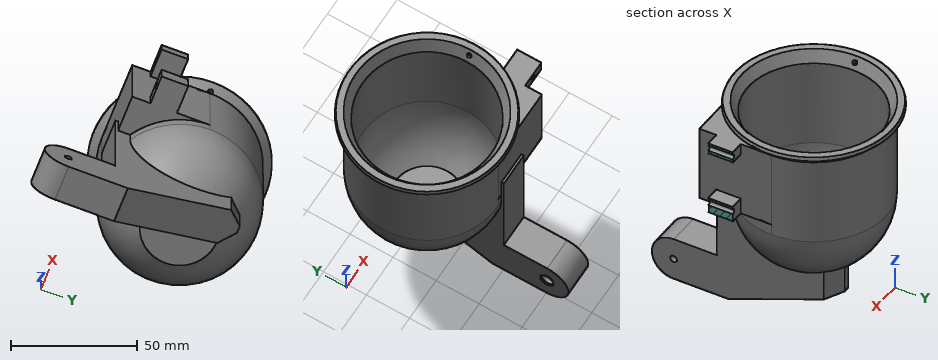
import cadquery as cq
import math


wall = 3.0
inner_radius = 30.0
outer_radius = inner_radius + wall
floor_radius = inner_radius / 2
rim_radius = 36.5
rim_top_radius = 36.0
rim_edge_depth = 1.5
collar_depth = rim_edge_depth + rim_radius - outer_radius
equator_depth = 45.0
inner_floor_depth = equator_depth + math.sqrt(inner_radius**2 - floor_radius**2)
outer_floor_depth = inner_floor_depth + wall
outer_floor_radius = math.sqrt(outer_radius**2 - (outer_floor_depth - equator_depth) ** 2)

drain_diameter = 2.0
drain_start_radius = 31.7
drain_start_depth = 2.5
drain_length = 5.0

block_bottom_depth = 40.0
lug_length = 12.2
lug_front_y = -25.2
lug_thickness = 11.3
upper_lug_height = 5.2
lower_lug_height = 7.4
lug_hole_diameter = 2.2
lug_hole_drop = 2.5

arm_width = 15.0
arm_left_x = 2.6
arm_front_y = -34.1
arm_top_depth = 30.0
arm_back_y = 21.0
arm_back_chamfer = 6.0
hub_diameter = 20.0
hub_bottom_depth = 100.0
overall_length_y = 100.6
hub_y = rim_radius - overall_length_y + hub_diameter / 2
hub_neck_y = -28.9
hub_top_depth = hub_bottom_depth - hub_diameter
hub_hole_diameter = 3.0
hub_bore_diameter = 5.3
hub_bore_depth = 3.0
hub_bore_chamfer = 0.5


def cup_outside():
    """Solid outer shape of the cup: flared rim, straight wall and flattened round bottom."""
    mid_angle = (math.pi / 2 + math.asin(outer_floor_radius / outer_radius)) / 2
    arc_middle = (
        outer_radius * math.sin(mid_angle),
        -equator_depth - outer_radius * math.cos(mid_angle),
    )
    return (
        cq.Workplane("XZ")
        .moveTo(0, 0)
        .lineTo(rim_top_radius, 0)
        .lineTo(rim_radius, -rim_edge_depth)
        .lineTo(outer_radius, -collar_depth)
        .lineTo(outer_radius, -equator_depth)
        .threePointArc(arc_middle, (outer_floor_radius, -outer_floor_depth))
        .lineTo(0, -outer_floor_depth)
        .close()
        .revolve(360, (0, 0, 0), (0, 1, 0))
    )


def cup_cavity():
    """Inside of the cup: a funnel at the mouth, a straight bore and a round bottom with a flat floor."""
    mid_angle = (math.pi / 2 + math.asin(floor_radius / inner_radius)) / 2
    arc_middle = (
        inner_radius * math.sin(mid_angle),
        -equator_depth - inner_radius * math.cos(mid_angle),
    )
    return (
        cq.Workplane("XZ")
        .moveTo(0, 0)
        .lineTo(outer_radius, 0)
        .lineTo(inner_radius, -collar_depth)
        .lineTo(inner_radius, -equator_depth)
        .threePointArc(arc_middle, (floor_radius, -inner_floor_depth))
        .lineTo(0, -inner_floor_depth)
        .close()
        .revolve(360, (0, 0, 0), (0, 1, 0))
    )


def drain_hole(side):
    """Cutter for the drain hole on the +X (side = 1) or -X (side = -1) side."""
    start_radius = drain_start_radius - drain_diameter / 2
    start_depth = drain_start_depth - drain_diameter / 2
    return cq.Workplane(
        cq.Solid.makeCylinder(
            drain_diameter / 2,
            drain_length,
            cq.Vector(side * start_radius, 0, -start_depth),
            cq.Vector(side, 0, -1),
        )
    )


def corner_block():
    """Block that squares off the front right quarter of the cup wall."""
    height = block_bottom_depth - collar_depth
    return (
        cq.Workplane("XY")
        .box(outer_radius, outer_radius, height, centered=False)
        .translate((0, -outer_radius, -block_bottom_depth))
    )


def lug(top_depth, height):
    """Hinge lug on the block's right side, with a pin hole along Y."""
    body = (
        cq.Workplane("XY")
        .box(lug_length, lug_thickness, height, centered=False)
        .translate((outer_radius, lug_front_y, -top_depth - height))
    )
    pin_hole = (
        cq.Workplane("XZ", origin=(0, lug_front_y, 0))
        .center(outer_radius + lug_length / 2, -top_depth - lug_hole_drop)
        .circle(lug_hole_diameter / 2)
        .extrude(-lug_thickness)
    )
    return body.cut(pin_hole)


def arm():
    """Upright web with a sloping lower edge, its back end chamfered on both sides."""
    return (
        cq.Workplane("YZ", origin=(arm_left_x, 0, 0))
        .moveTo(arm_front_y, -arm_top_depth)
        .lineTo(arm_front_y, -hub_top_depth)
        .lineTo(hub_neck_y, -hub_bottom_depth)
        .lineTo(arm_back_y, -hub_top_depth)
        .lineTo(arm_back_y, -arm_top_depth)
        .close()
        .extrude(arm_width)
        .faces(">Y")
        .edges("|Z")
        .chamfer(arm_back_chamfer)
    )


def hub():
    """Round-ended bar that carries the pivot."""
    return (
        cq.Workplane("YZ", origin=(arm_left_x, 0, 0))
        .moveTo(hub_neck_y, -hub_top_depth)
        .lineTo(hub_y, -hub_top_depth)
        .threePointArc(
            (hub_y - hub_diameter / 2, -hub_top_depth - hub_diameter / 2),
            (hub_y, -hub_bottom_depth),
        )
        .lineTo(hub_neck_y, -hub_bottom_depth)
        .close()
        .extrude(arm_width)
    )


def pivot_hole():
    """Through hole with a chamfered counterbore on the -X side of the hub."""
    mouth = cq.Workplane("YZ", origin=(arm_left_x, hub_y, -hub_top_depth - hub_diameter / 2))
    through = mouth.circle(hub_hole_diameter / 2).extrude(arm_width)
    bore = mouth.circle(hub_bore_diameter / 2).extrude(hub_bore_depth)
    chamfer = (
        mouth.circle(hub_bore_diameter / 2 + hub_bore_chamfer)
        .workplane(offset=hub_bore_chamfer)
        .circle(hub_bore_diameter / 2)
        .loft()
    )
    return through.union(bore).union(chamfer)


lower_lug_top = block_bottom_depth - lower_lug_height

result = (
    cup_outside()
    .union(corner_block())
    .union(lug(collar_depth, upper_lug_height))
    .union(lug(lower_lug_top, lower_lug_height))
    .union(arm())
    .union(hub())
    .cut(cup_cavity())
    .cut(pivot_hole())
    .cut(drain_hole(1))
    .cut(drain_hole(-1))
)